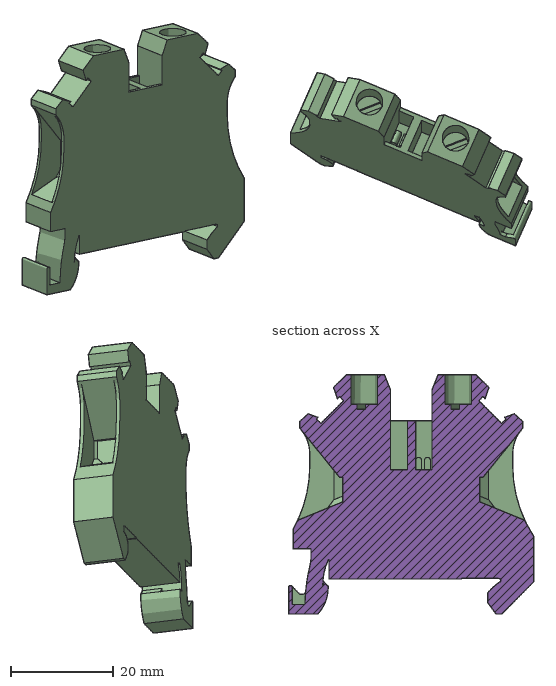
import cadquery as cq
import math

width = 8.15
height = 46.85
half_length = 24.0
waist = 19.85
rail_seat = 6.85

tower_inner = 4.05
notch_floor = 37.85
neck_radius = 7.6
neck_bottom = 31.35
neck_rise = 3.95
flank_radius = 25.15
flank_top = 29.0
clip_flank_half_length = 23.1

cavity_min_x = -3.35
cavity_max_x = 3.3
screw_x = 0.6
screw_y = 9.15
screw_diameter = 5.2
screw_head_depth = 5.75
driver_slot_width = 1.1
driver_slot_depth = 0.95
pocket_depth = 9.6
bridge_min_y = -0.75
bridge_max_y = 0.9


def arc_inset(radius, distance):
    """Sideways travel of an arc at a given distance from its vertical tangent."""
    return radius - math.sqrt(radius ** 2 - distance ** 2)


def flank_y(z):
    return waist + arc_inset(flank_radius, flank_top - z)


def flank_z(y):
    return flank_top - math.sqrt(flank_radius ** 2 - (flank_radius - y + waist) ** 2)


def neck_y(z):
    return waist + arc_inset(neck_radius, z - neck_bottom)


def extrude_across(profile, start_x, length):
    """Extrude a Y-Z profile along +X from start_x."""
    return profile.extrude(length).translate((start_x, 0, 0))


def cavity_prism(points):
    """Prism of a Y-Z polygon spanning the inner width between the side walls."""
    profile = cq.Workplane("YZ").polyline(points).close()
    return extrude_across(profile, cavity_min_x, cavity_max_x - cavity_min_x)


shoulder = [
    (tower_inner, notch_floor),
    (tower_inner, 43.85),
    (5.25, height),
    (12.65, height),
    (15.2, 44.35),
    (14.45, 42.1),
    (14.0, 42.6),
    (13.25, 41.75),
    (17.65, 37.35),
    (18.55, 38.15),
    (18.2, 38.5),
    (20.15, 39.2),
    (21.85, 37.7),
    (21.85, 36.45),
]
neck_top = neck_bottom + neck_rise
neck_middle = neck_bottom + neck_rise / 2


def flank_middle(end_y):
    """Point halfway down a flank, for the +Y side."""
    z = (flank_top + flank_z(end_y)) / 2
    return flank_y(z), z


def add_foot(outline):
    """+Y side from the neck down to the fixed hook, ending at the rail seat."""
    return (
        outline.lineTo(neck_y(neck_top), neck_top)
        .threePointArc((neck_y(neck_middle), neck_middle), (waist, neck_bottom))
        .lineTo(waist, flank_top)
        .threePointArc(flank_middle(half_length), (half_length, flank_z(half_length)))
        .lineTo(half_length, 6.4)
        .lineTo(17.7, 0)
        .lineTo(16.6, 0)
        .lineTo(14.95, 2.25)
        .lineTo(14.95, 4.2)
        .lineTo(16.1, 5.4)
        .lineTo(17.45, 5.65)
        .lineTo(17.45, rail_seat)
        .lineTo(16.85, 7.0)
        .lineTo(9.85, 7.0)
        .lineTo(9.85, rail_seat)
    )


def add_clip(outline):
    """Flexible snap clip, then up the -Y side from the step above it to the neck."""
    flank_middle_y, flank_middle_z = flank_middle(clip_flank_half_length)
    return (
        outline.lineTo(-16.15, rail_seat)
        .threePointArc((-15.95, 8.55), (-15.2, 10.2))
        .threePointArc((-15.6, 10.75), (-16.2, 10.6))
        .threePointArc((-16.95, 8.55), (-17.3, 5.45))
        .lineTo(-16.2, 5.45)
        .threePointArc((-16.7, 2.55), (-18.3, 0))
        .lineTo(-half_length, 0)
        .lineTo(-half_length, 5.3)
        .threePointArc((-23.6, 5.6), (-23.25, 5.4))
        .lineTo(-21.85, 3.95)
        .lineTo(-21.15, 3.95)
        .threePointArc((-20.85, 4.1), (-20.7, 4.35))
        .threePointArc((-20.35, 7.0), (-19.8, 9.55))
        .threePointArc((-19.7, 10.35), (-19.65, 11.25))
        .lineTo(-19.65, 12.75)
        .lineTo(-clip_flank_half_length, 12.75)
        .lineTo(-clip_flank_half_length, flank_z(clip_flank_half_length))
        .threePointArc((-flank_middle_y, flank_middle_z), (-waist, flank_top))
        .lineTo(-waist, neck_bottom)
        .threePointArc((-neck_y(neck_middle), neck_middle), (-neck_y(neck_top), neck_top))
    )


def make_body():
    outline = cq.Workplane("YZ").polyline(shoulder)
    outline = add_clip(add_foot(outline))
    for y, z in reversed(shoulder):
        outline = outline.lineTo(-y, z)
    return extrude_across(outline.close(), -width / 2, width)


def make_hook_fills():
    """Webs that fill the corners of the foot and the clip in the +X half."""
    fills = [
        [(17.45, 6.5), (17.45, 5.65), (16.1, 5.4)],
        [(-16.15, rail_seat), (-14.9, rail_seat), (-14.9, 11.05), (-16.15, 11.05)],
        [(-17.2, 6.5), (-16.7, 5.9), (-16.2, 5.45), (-17.3, 5.45)],
    ]
    webs = cq.Workplane("YZ")
    for points in fills:
        webs = webs.polyline(points).close()
    return webs.extrude(width / 2)


def make_release_groove():
    """Deep part of the clip's release groove, closed only by the -X wall."""
    points = [(-20.7, 4.35), (-20.85, 1.9), (-23.25, 1.9), (-23.25, 5.4), (-20.7, 5.4)]
    groove = cq.Workplane("YZ").polyline(points).close()
    return extrude_across(groove, cavity_min_x, width / 2 - cavity_min_x)


def make_wire_funnel():
    """Wire entry on the -Y side: flared walls and floor under a sloping roof."""
    back_y = -13.45
    front_y = -24.0
    back_min_x = -1.75
    back_max_x = 2.75
    back_floor = 22.0
    corner = 1.1
    side_flare = 0.95
    floor_flare = 0.41
    roof_back_y = -14.0
    roof_back_z = 26.75
    roof_front_y = -21.6
    roof_front_z = 36.1

    def section(y):
        depth = back_y - y
        min_x = back_min_x - side_flare * depth
        max_x = back_max_x + side_flare * depth
        floor = back_floor - floor_flare * depth
        points = [
            (min_x, height),
            (min_x, floor + corner),
            (min_x + corner, floor),
            (max_x - corner, floor),
            (max_x, floor + corner),
            (max_x, height),
        ]
        return cq.Wire.makePolygon([cq.Vector(x, y, z) for x, z in points], close=True)

    flare = cq.Workplane(cq.Solid.makeLoft([section(back_y), section(front_y)], True))
    roof_slope = (roof_front_z - roof_back_z) / (roof_back_y - roof_front_y)
    roof_end_z = roof_back_z + roof_slope * (roof_back_y - front_y)
    envelope = cavity_prism([
        (back_y, 0),
        (back_y, roof_back_z),
        (roof_back_y, roof_back_z),
        (front_y, roof_end_z),
        (front_y, 0),
    ])
    return flare.intersect(envelope)


def make_screw_hole(y):
    """Screw well ending on a screw head with a diagonal driver slot."""
    head_z = height - screw_head_depth
    well = cq.Workplane("XY", origin=(screw_x, y, head_z)).circle(screw_diameter / 2)
    well = well.extrude(screw_head_depth)
    slot_blank = cq.Workplane("XY", origin=(screw_x, y, head_z - driver_slot_depth))
    slot = (
        slot_blank.transformed(rotate=(0, 0, -45))
        .rect(screw_diameter, driver_slot_width)
        .extrude(driver_slot_depth)
    )
    slot = slot.intersect(slot_blank.circle(screw_diameter / 2).extrude(driver_slot_depth))
    return well.union(slot)


def make_bridge_pocket(start_y, end_y):
    """Pocket sunk into the floor of the middle notch."""
    bottom = notch_floor - pocket_depth
    return cavity_prism([
        (start_y, bottom),
        (end_y, bottom),
        (end_y, notch_floor),
        (start_y, notch_floor),
    ])


def make_contact_ribs():
    """Two round-topped contact ribs standing in the +Y pocket."""
    rib_min_x = -1.35
    rib_max_x = 1.2
    rib_radius = 0.6
    rib_height = 2.4
    base = notch_floor - pocket_depth
    ribs = cq.Workplane("XY")
    for rib_y in (3.15, 1.45):
        crown_start = base + rib_height - rib_radius
        profile = (
            cq.Workplane("YZ")
            .moveTo(rib_y - rib_radius, base)
            .lineTo(rib_y - rib_radius, crown_start)
            .threePointArc((rib_y, base + rib_height), (rib_y + rib_radius, crown_start))
            .lineTo(rib_y + rib_radius, base)
            .close()
        )
        ribs = ribs.add(extrude_across(profile, rib_min_x, rib_max_x - rib_min_x))
    return ribs.combine()


result = make_body().union(make_hook_fills()).cut(make_release_groove())

funnel = make_wire_funnel()
result = result.cut(funnel).cut(funnel.mirror("XZ"))

for side in (-1, 1):
    result = result.cut(make_screw_hole(side * screw_y))

result = result.cut(make_bridge_pocket(-tower_inner, bridge_min_y))
result = result.cut(make_bridge_pocket(bridge_max_y, tower_inner))
result = result.union(make_contact_ribs())